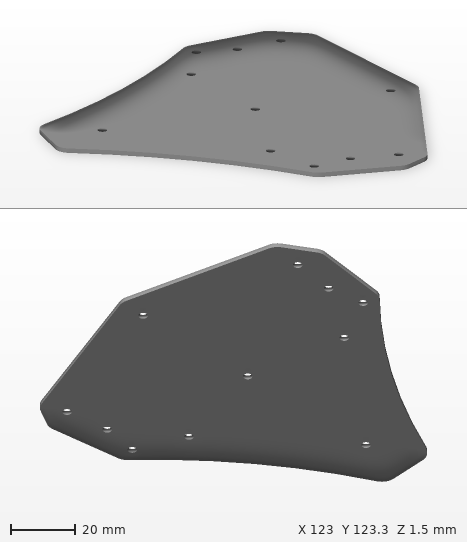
import cadquery as cq

thickness = 1.5
hole_diameter = 3.0
corner_radius = 5.0

apex = (-0.4, 54.5)
left_shoulder = (-54.0, 40.0)
right_shoulder = (56.4, 36.1)
side_top_x, side_top_y = 61.7, 26.9
side_bottom_x, side_bottom_y = 58.0, -1.5
tail_half_width, tail_y = 9.7, -69.0

flank_x, flank_y = 30.3, -33.4

centre_hole_ys = [45.0, 0, -50.9]
paired_holes = [(52.0, 28.1), (50.0, 12.8), (52.0, 0), (35.0, -8.1)]


def make_plate():
    """Extrude the outline and round all its corners."""
    outline = (
        cq.Workplane("XY")
        .moveTo(*apex)
        .lineTo(*right_shoulder)
        .lineTo(side_top_x, side_top_y)
        .lineTo(side_bottom_x, side_bottom_y)
        .threePointArc((flank_x, flank_y), (tail_half_width, tail_y))
        .lineTo(-tail_half_width, tail_y)
        .threePointArc((-flank_x, flank_y), (-side_bottom_x, side_bottom_y))
        .lineTo(-side_top_x, side_top_y)
        .lineTo(*left_shoulder)
        .close()
    )
    return outline.extrude(thickness).edges("|Z").fillet(corner_radius)


def hole_centres():
    """List the centre-line holes and both holes of each mirrored pair."""
    centres = [(0, y) for y in centre_hole_ys]
    for x, y in paired_holes:
        centres += [(x, y), (-x, y)]
    return centres


holes = cq.Workplane("XY").pushPoints(hole_centres()).circle(hole_diameter / 2).extrude(thickness)
result = make_plate().cut(holes)